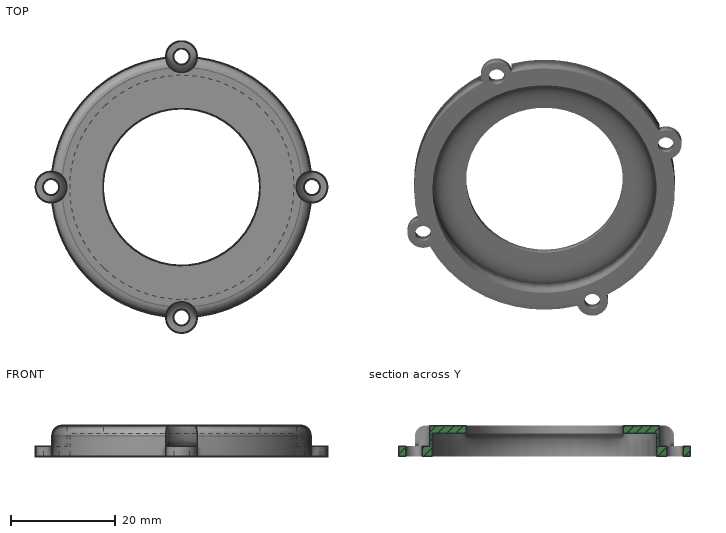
import cadquery as cq

overall_width = 56.0
height = 6.0
ear_diameter = 6.0
ear_thickness = 2.0
screw_hole_diameter = 3.0
bore_diameter = 30.0
plate_thickness = 1.5
scallop_wall = 0.5
edge_radius = 2.0

ring_diameter = overall_width - ear_diameter
ear_circle_radius = ring_diameter / 2
cavity_radius = ear_circle_radius - ear_diameter / 2 - scallop_wall
cavity_depth = height - plate_thickness
ear_centres = [
    (ear_circle_radius, 0),
    (0, ear_circle_radius),
    (-ear_circle_radius, 0),
    (0, -ear_circle_radius),
]


def cylinders_at_ears(diameter, depth):
    """Vertical cylinders standing on the base plane at every ear centre."""
    return cq.Workplane("XY").pushPoints(ear_centres).circle(diameter / 2).extrude(depth)


cover = cq.Workplane("XY").circle(ring_diameter / 2).extrude(height)
cover = cover.faces(">Z").edges().fillet(edge_radius)

cavity = cq.Workplane("XY").circle(cavity_radius).extrude(cavity_depth)
cover = cover.cut(cavity)

bore = cq.Workplane("XY").circle(bore_diameter / 2).extrude(height)
cover = cover.cut(bore)

cover = cover.cut(cylinders_at_ears(ear_diameter, height))
cover = cover.union(cylinders_at_ears(ear_diameter, ear_thickness))
result = cover.cut(cylinders_at_ears(screw_hole_diameter, ear_thickness))